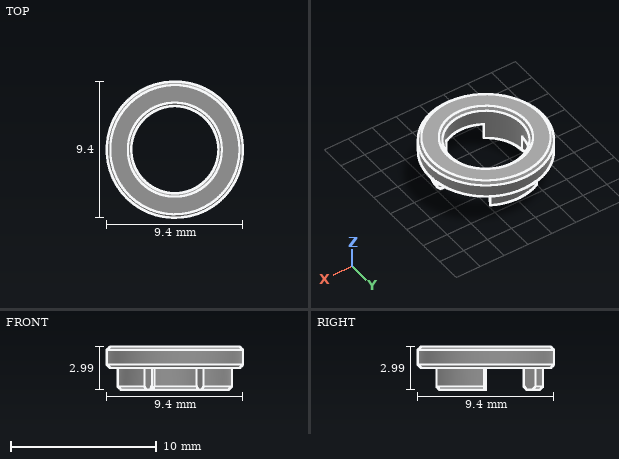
import cadquery as cq

outer_radius = 4.7
bore_radius = 3.0
ring_height = 1.5
chamfer = 0.24

leg_outer_radius = 3.95
leg_height = 1.49
leg_count = 3
leg_spacing = 360.0 / leg_count
leg_start_angle = 60.0
leg_sweep = 58.0


def make_ring():
    """Flat ring chamfered on both outer edges and at the top of the bore."""
    profile = [
        (bore_radius, 0),
        (outer_radius - chamfer, 0),
        (outer_radius, chamfer),
        (outer_radius, ring_height - chamfer),
        (outer_radius - chamfer, ring_height),
        (bore_radius + chamfer, ring_height),
        (bore_radius, ring_height - chamfer),
    ]
    return cq.Workplane("XZ").polyline(profile).close().revolve(360, (0, 0), (0, 1))


def make_leg(start_angle):
    """Arc-shaped leg with chamfered lower edges, starting at start_angle from +X."""
    profile = [
        (bore_radius, 0),
        (bore_radius, chamfer - leg_height),
        (bore_radius + chamfer, -leg_height),
        (leg_outer_radius - chamfer, -leg_height),
        (leg_outer_radius, chamfer - leg_height),
        (leg_outer_radius, 0),
    ]
    leg = cq.Workplane("XZ").polyline(profile).close().revolve(leg_sweep, (0, 0), (0, 1))
    return leg.rotate((0, 0, 0), (0, 0, 1), start_angle)


result = make_ring()
for index in range(leg_count):
    result = result.union(make_leg(leg_start_angle + index * leg_spacing))